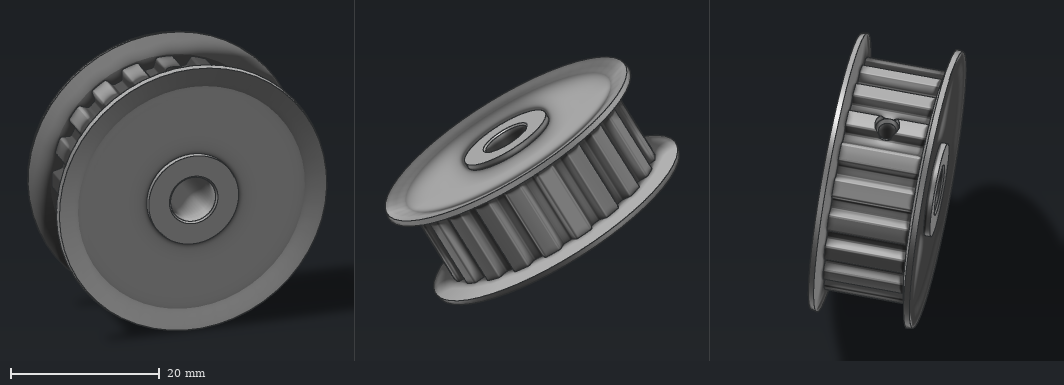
import cadquery as cq
import math

tooth_count = 20
belt_pitch = 5.08
pitch_line_offset = 0.254
drum_width = 11.0
groove_depth = 1.4
groove_floor_width = 1.34
groove_angle = 50.0
root_fillet = 0.41
tip_fillet = 0.4
edge_tolerance = 0.001

flange_diameter = 38.1
flange_disc_diameter = 32.2
sheet_thickness = 0.8
flange_flare_angle = 12.5

overall_width = 14.3
hub_diameter = 12.7
bore_diameter = 6.35
bore_chamfer = 0.25
screw_hole_diameter = 2.4
screw_mouth_diameter = 3.3

drum_radius = tooth_count * belt_pitch / (2 * math.pi) - pitch_line_offset
floor_radius = drum_radius - groove_depth
flange_inner_x = drum_width / 2
flare = math.radians(flange_flare_angle)


def edge_radius(edge):
    """Distance of an edge's centre from the X axis."""
    centre = edge.Center()
    return math.hypot(centre.y, centre.z)


def make_groove_cutter():
    """Trapezoidal belt groove on +Z, continued past the drum surface by one groove depth."""
    top_z = drum_radius + groove_depth
    floor_half = groove_floor_width / 2
    top_half = floor_half + (top_z - floor_radius) * math.tan(math.radians(groove_angle / 2))
    return (
        cq.Workplane("YZ", origin=(-drum_width / 2, 0, 0))
        .polyline([
            (-floor_half, floor_radius),
            (floor_half, floor_radius),
            (top_half, top_z),
            (-top_half, top_z),
        ])
        .close()
        .extrude(drum_width)
    )


def make_drum():
    """Toothed drum centred on the origin, with a tooth on +Z and rounded groove roots and tooth tips."""
    tooth_angle = 360.0 / tooth_count
    cutter = make_groove_cutter()
    drum = cq.Workplane("YZ", origin=(-drum_width / 2, 0, 0)).circle(drum_radius).extrude(drum_width)
    for index in range(tooth_count):
        groove_position = (index + 0.5) * tooth_angle
        drum = drum.cut(cutter.rotate((0, 0, 0), (1, 0, 0), groove_position))

    middle_radius = (drum_radius + floor_radius) / 2
    long_edges = drum.edges("|X").vals()
    root_edges = [edge for edge in long_edges if edge_radius(edge) < middle_radius]
    drum = drum.newObject(root_edges).fillet(root_fillet)
    long_edges = drum.edges("|X").vals()
    tip_edges = [edge for edge in long_edges if edge_radius(edge) > drum_radius - edge_tolerance]
    return drum.newObject(tip_edges).fillet(tip_fillet)


def make_flange():
    """Dished disc on the +X end: flat centre with a rim flaring outward at constant thickness."""
    rim_radius = flange_diameter / 2
    bend_radius = flange_disc_diameter / 2
    rim_outer_radius = rim_radius - sheet_thickness * math.sin(flare)
    rim_inner_x = flange_inner_x + (rim_radius - bend_radius) * math.tan(flare)
    rim_outer_x = rim_inner_x + sheet_thickness * math.cos(flare)
    bend_shift = sheet_thickness * math.tan(flare / 2)
    return (
        cq.Workplane("XZ")
        .polyline([
            (flange_inner_x, 0),
            (flange_inner_x, bend_radius),
            (rim_inner_x, rim_radius),
            (rim_outer_x, rim_outer_radius),
            (flange_inner_x + sheet_thickness, bend_radius - bend_shift),
            (flange_inner_x + sheet_thickness, 0),
        ])
        .close()
        .revolve(360, (0, 0, 0), (1, 0, 0))
    )


def make_hub():
    """Cylinder through the whole pulley, standing proud of both flanges."""
    hub_end = cq.Workplane("YZ", origin=(-overall_width / 2, 0, 0))
    return hub_end.circle(hub_diameter / 2).extrude(overall_width)


def cut_bore(body):
    """Through bore, chamfered at both ends."""
    end_x = overall_width / 2
    radius = bore_diameter / 2
    cutter = (
        cq.Workplane("XZ")
        .polyline([
            (-end_x, 0),
            (-end_x, radius + bore_chamfer),
            (-end_x + bore_chamfer, radius),
            (end_x - bore_chamfer, radius),
            (end_x, radius + bore_chamfer),
            (end_x, 0),
        ])
        .close()
        .revolve(360, (0, 0, 0), (1, 0, 0))
    )
    return body.cut(cutter)


def cut_screw_hole(body):
    """Stepped radial set screw hole on +Z, with a 45 degree cone between its two diameters."""
    top_z = drum_radius + groove_depth
    small_radius = screw_hole_diameter / 2
    large_radius = screw_mouth_diameter / 2
    cone_bottom_z = floor_radius - (large_radius - small_radius)
    cutter = (
        cq.Workplane("XZ")
        .polyline([
            (0, 0),
            (small_radius, 0),
            (small_radius, cone_bottom_z),
            (large_radius, floor_radius),
            (large_radius, top_z),
            (0, top_z),
        ])
        .close()
        .revolve(360, (0, 0, 0), (0, 1, 0))
    )
    return body.cut(cutter)


flange = make_flange()
body = make_drum().union(flange).union(flange.mirror("YZ")).union(make_hub())
result = cut_screw_hole(cut_bore(body))